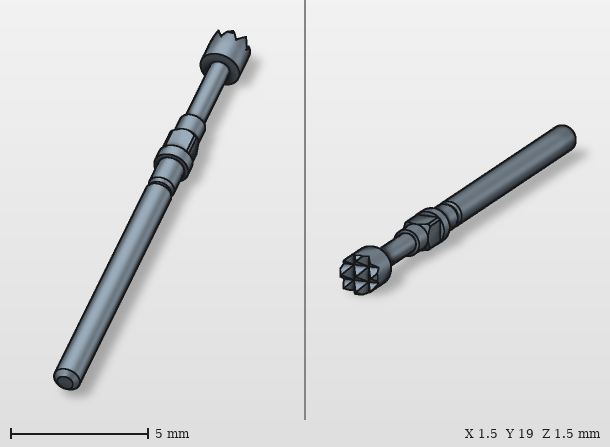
import cadquery as cq
import math


TOTAL_LENGTH = 19.0
HEAD_LENGTH = 1.5
PLUNGER_LENGTH = 3.1
NECK_LENGTH = 0.8
SQUARE_LENGTH = 1.1
COLLAR_LENGTH = 0.5

HEAD_DIAMETER = 1.5
PLUNGER_DIAMETER = 0.75
BARREL_DIAMETER = 1.0
COLLAR_DIAMETER = 1.32

SQUARE_ACROSS_FLATS = BARREL_DIAMETER
SQUARE_CORNER_DIAMETER = 1.3
SQUARE_LEAD_IN = 0.2

GROOVE_OFFSET = 1.1
GROOVE_WIDTH = 0.35
GROOVE_DEPTH = 0.07

TAIL_CHAMFER = 0.2

TEETH_PER_ROW = 3
TOOTH_PITCH = 0.585
TOOTH_ANGLE = 60.0

COLLAR_FRONT = COLLAR_LENGTH
SQUARE_FRONT = COLLAR_FRONT + SQUARE_LENGTH
BARREL_FRONT = SQUARE_FRONT + NECK_LENGTH
HEAD_REAR = BARREL_FRONT + PLUNGER_LENGTH
TIP = HEAD_REAR + HEAD_LENGTH
TAIL = TIP - TOTAL_LENGTH


def revolve_about_y(outline):
    """Spin a closed (radius, y) outline about the Y axis."""
    return cq.Workplane("XY").polyline(outline).close().revolve(360, (0, 0, 0), (0, 1, 0))


def make_turned_body():
    head_radius = HEAD_DIAMETER / 2
    plunger_radius = PLUNGER_DIAMETER / 2
    barrel_radius = BARREL_DIAMETER / 2
    collar_radius = COLLAR_DIAMETER / 2
    return revolve_about_y([
        (0, TAIL),
        (barrel_radius - TAIL_CHAMFER, TAIL),
        (barrel_radius, TAIL + TAIL_CHAMFER),
        (barrel_radius, -GROOVE_OFFSET - GROOVE_WIDTH),
        (barrel_radius - GROOVE_DEPTH, -GROOVE_OFFSET - GROOVE_WIDTH / 2),
        (barrel_radius, -GROOVE_OFFSET),
        (barrel_radius, 0),
        (collar_radius, 0),
        (collar_radius, COLLAR_FRONT),
        (barrel_radius, COLLAR_FRONT),
        (barrel_radius, BARREL_FRONT),
        (plunger_radius, BARREL_FRONT),
        (plunger_radius, HEAD_REAR),
        (head_radius, HEAD_REAR),
        (head_radius, TIP),
        (0, TIP),
    ])


def make_square_section():
    """A square bar whose corners are turned round and coned at the front."""
    corner_radius = SQUARE_CORNER_DIAMETER / 2
    turned_corners = revolve_about_y([
        (0, COLLAR_FRONT),
        (corner_radius, COLLAR_FRONT),
        (corner_radius, SQUARE_FRONT - SQUARE_LEAD_IN),
        (BARREL_DIAMETER / 2, SQUARE_FRONT),
        (0, SQUARE_FRONT),
    ])
    square_bar = (
        cq.Workplane("XY")
        .box(SQUARE_ACROSS_FLATS, SQUARE_LENGTH, SQUARE_ACROSS_FLATS)
        .translate((0, COLLAR_FRONT + SQUARE_LENGTH / 2, 0))
    )
    return square_bar.intersect(turned_corners)


def cut_crown(body):
    """Cut parallel V grooves across the head, then again at a right angle."""
    half_pitch = TOOTH_PITCH / 2
    tooth_height = half_pitch / math.tan(math.radians(TOOTH_ANGLE / 2))
    for turn in (0, 90):
        for cut in range(TEETH_PER_ROW + 1):
            valley = (cut - TEETH_PER_ROW / 2) * TOOTH_PITCH
            groove = (
                cq.Workplane("XY")
                .polyline([
                    (valley - half_pitch, TIP),
                    (valley, TIP - tooth_height),
                    (valley + half_pitch, TIP),
                ])
                .close()
                .extrude(HEAD_DIAMETER, both=True)
                .rotate((0, 0, 0), (0, 1, 0), turn)
            )
            body = body.cut(groove)
    return body


result = cut_crown(make_turned_body().union(make_square_section()))